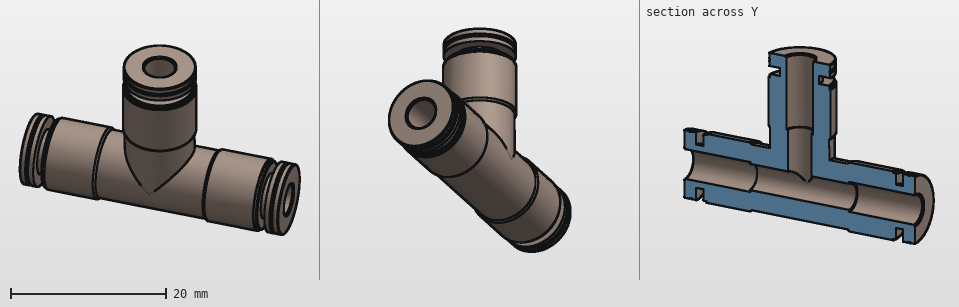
import cadquery as cq

overall_length = 35
arm_length = overall_length / 2
body_diameter = 9.03

ring_diameter = 9.3
ring_groove_diameter = 9.1
ring_chamfer = 0.1
ring_length = 1.85
groove_start = 0.88
groove_width = 0.18
neck_diameter = 6.0

cap_diameter = 9.5
lip_diameter = 9.1
lip_chamfer = 0.15
lip_start = 2.87
cap_start = 3.35
cap_end = 10.25
cap_taper_length = 0.3

bore_diameter = 3.5
tube_diameter = 4.0
tube_depth = 9.98
mouth_diameter = 4.38
mouth_chamfer = (mouth_diameter - tube_diameter) / 2


def arm_solid():
    """Outside of one arm along +Z, revolved from its half section."""
    body_radius = body_diameter / 2
    ring_radius = ring_diameter / 2
    groove_radius = ring_groove_diameter / 2
    neck_radius = neck_diameter / 2
    cap_radius = cap_diameter / 2
    lip_radius = lip_diameter / 2
    groove_end = groove_start + groove_width
    profile = [
        (0, 0),
        (ring_radius - ring_chamfer, 0),
        (ring_radius, ring_chamfer),
        (ring_radius, groove_start - ring_chamfer),
        (groove_radius, groove_start),
        (groove_radius, groove_end),
        (ring_radius, groove_end + ring_chamfer),
        (ring_radius, ring_length),
        (neck_radius, ring_length),
        (neck_radius, lip_start),
        (lip_radius - lip_chamfer, lip_start),
        (lip_radius, lip_start + lip_chamfer),
        (lip_radius, cap_start),
        (cap_radius, cap_start),
        (cap_radius, cap_end - cap_taper_length),
        (body_radius, cap_end),
        (body_radius, arm_length),
        (0, arm_length),
    ]
    points = [(radius, arm_length - distance) for radius, distance in profile]
    return cq.Workplane("XZ").polyline(points).close().revolve(360, (0, 0), (0, 1))


def arm_passage():
    """Stepped hole of one arm along +Z, from the tee center to the mouth."""
    points = [
        (0, 0),
        (bore_diameter / 2, 0),
        (bore_diameter / 2, arm_length - tube_depth),
        (tube_diameter / 2, arm_length - tube_depth),
        (tube_diameter / 2, arm_length - mouth_chamfer),
        (mouth_diameter / 2, arm_length),
        (0, arm_length),
    ]
    return cq.Workplane("XZ").polyline(points).close().revolve(360, (0, 0), (0, 1))


def turned(shape, angle):
    """Swing a shape about the Y axis, away from +Z toward +X."""
    return shape.rotate((0, 0, 0), (0, 1, 0), angle)


arm_angles = (-90, 90, 0)
result = cq.Workplane("XY")
for angle in arm_angles:
    result = result.union(turned(arm_solid(), angle))
for angle in arm_angles:
    result = result.cut(turned(arm_passage(), angle))